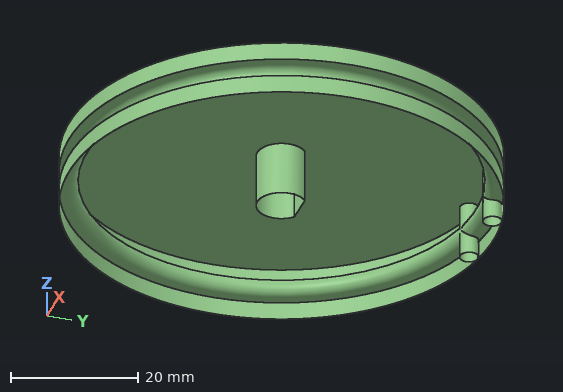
import cadquery as cq
import math

disc_radius = 35.0
disc_thickness = 9.0

groove_radius = 1.5
groove_depth = 3.0

bore_radius = 4.0
bore_flat_distance = 3.0

cord_hole_diameter = 3.0
cord_hole_pitch_radius = disc_radius - cord_hole_diameter / 2
cord_hole_half_angle = 10.0


def make_grooved_disc():
    """Revolve the half section about Z: a disc with a U-shaped rim groove."""
    half_thickness = disc_thickness / 2
    groove_floor = disc_radius - groove_depth
    arc_start = groove_floor + groove_radius
    profile = (
        cq.Workplane("XZ")
        .moveTo(0, -half_thickness)
        .lineTo(-disc_radius, -half_thickness)
        .lineTo(-disc_radius, -groove_radius)
        .lineTo(-arc_start, -groove_radius)
        .threePointArc((-groove_floor, 0), (-arc_start, groove_radius))
        .lineTo(-disc_radius, groove_radius)
        .lineTo(-disc_radius, half_thickness)
        .lineTo(0, half_thickness)
        .close()
    )
    return profile.revolve(360, (0, 0, 0), (0, 1, 0))


def make_bore():
    """D-shaped cutter running through the full thickness."""
    flat_half_width = math.sqrt(bore_radius**2 - bore_flat_distance**2)
    return (
        cq.Workplane("XY")
        .moveTo(-flat_half_width, bore_flat_distance)
        .threePointArc((0, -bore_radius), (flat_half_width, bore_flat_distance))
        .close()
        .extrude(disc_thickness / 2, both=True)
    )


def make_cord_holes():
    """Pair of cylindrical cutters mirrored about the YZ plane."""
    angle = math.radians(cord_hole_half_angle)
    offset_x = cord_hole_pitch_radius * math.sin(angle)
    offset_y = cord_hole_pitch_radius * math.cos(angle)
    return (
        cq.Workplane("XY")
        .pushPoints([(side * offset_x, offset_y) for side in (-1, 1)])
        .circle(cord_hole_diameter / 2)
        .extrude(disc_thickness / 2, both=True)
    )


result = make_grooved_disc().cut(make_bore()).cut(make_cord_holes())